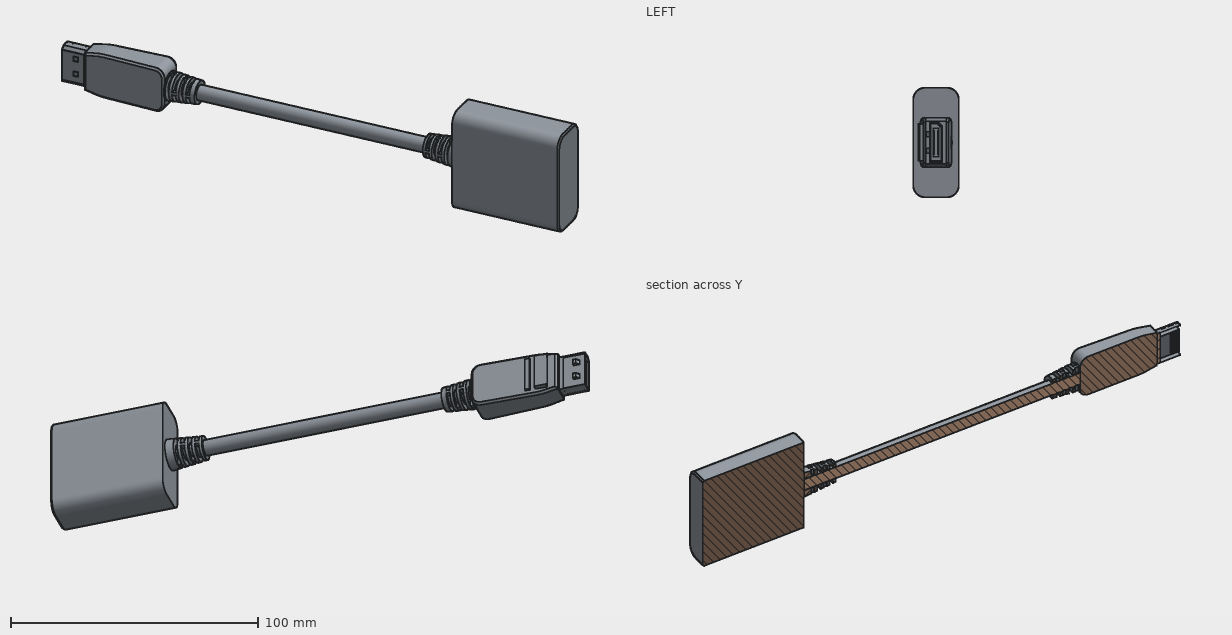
import cadquery as cq

OVERALL_LENGTH = 226.5

SHELL_LENGTH = 11.0
SHELL_THICK = 5.0
SHELL_HEIGHT = 15.9
SHELL_WALL = 0.5
SHELL_KEY_CHAMFER = 1.4
CAVITY_DEPTH = 9.5
TONGUE_THICK = 2.3
TONGUE_HEIGHT = 11.3
TONGUE_SETBACK = 0.5
CONTACT_COUNT = 10
CONTACT_PITCH = 1.0
CONTACT_GROOVE_WIDTH = 0.5
CONTACT_GROOVE_DEPTH = 0.5
CONTACT_END_X = 4.5
LATCH_SPACING = 6.8
WINDOW_SIZE = 2.0
WINDOW_X = 6.1
HOOK_START_X = 2.3
HOOK_END_X = 4.8
HOOK_RISE = 1.4
HOOK_WIDTH = 2.0

HOUSING_END_X = 47.5
HOUSING_HALF_HEIGHT = 10.0
HOUSING_NOSE_HALF_HEIGHT = 8.5
NOSE_END_X = 14.7
NOSE_END_HALF_HEIGHT = 9.3
SHOULDER_END_X = 20.4
HOUSING_CORNER_RADIUS = 4.0
HOUSING_FRONT_HALF_THICK = 5.0
HOUSING_REAR_HALF_THICK = 6.3
HOUSING_EDGE_CHAMFER = 1.0

BUTTON_START_X = 14.5
BUTTON_END_X = 20.2
BUTTON_TOP_Y = 7.2
BUTTON_LIP = 0.7
BUTTON_HEIGHT = 15.0
GRIP_START_X = 22.5
GRIP_END_X = 24.5
GRIP_TOP_Y = 6.3

CABLE_DIAMETER = 6.5
CABLE_RADIUS = CABLE_DIAMETER / 2
BOOT_TIP_RADIUS = 5.0
BOOT_TAPER = 0.1
PLUG_BOOT_LENGTH = 13.1
PLUG_BOOT_FIRST_SLOT = 1.4
ADAPTER_BOOT_LENGTH = 15.2
ADAPTER_BOOT_FIRST_SLOT = 4.3
SLOT_COUNT = 4
SLOT_PITCH = 3.0
SLOT_WIDTH = 1.5
SLOT_RIB = 1.4

BOX_START_X = 178.5
BOX_THICK = 18.5
BOX_HEIGHT = 44.4
BOX_CORNER_RADIUS = 5.0
BOX_END_CHAMFER = 0.7


def block(start_x, end_x, thick, height, y=0.0, z=0.0):
    """Box from start_x to end_x, centred on y and z."""
    length = end_x - start_x
    return cq.Workplane("XY").box(length, thick, height).translate((start_x + length / 2, y, z))


def make_connector():
    """Shell with one chamfered key corner, grooved tongue, latch windows and hooks."""
    outer = block(0, SHELL_LENGTH, SHELL_THICK, SHELL_HEIGHT)
    outer = outer.edges("|X and >Z and <Y").chamfer(SHELL_KEY_CHAMFER)
    cavity = block(0, CAVITY_DEPTH, SHELL_THICK - 2 * SHELL_WALL, SHELL_HEIGHT - 2 * SHELL_WALL)
    cavity = cavity.edges("|X and >Z and <Y").chamfer(SHELL_KEY_CHAMFER)
    shell = outer.cut(cavity)

    tongue = block(TONGUE_SETBACK, SHELL_LENGTH, TONGUE_THICK, TONGUE_HEIGHT)
    for index in range(CONTACT_COUNT):
        groove_z = (index - (CONTACT_COUNT - 1) / 2) * CONTACT_PITCH
        for side in (-1, 1):
            groove_y = side * (TONGUE_THICK - CONTACT_GROOVE_DEPTH) / 2
            groove = block(TONGUE_SETBACK, CONTACT_END_X,
                           CONTACT_GROOVE_DEPTH, CONTACT_GROOVE_WIDTH, groove_y, groove_z)
            tongue = tongue.cut(groove)
    connector = shell.union(tongue)

    wall_y = (SHELL_THICK - SHELL_WALL) / 2
    for side in (-1, 1):
        latch_z = side * LATCH_SPACING / 2
        window = block(WINDOW_X - WINDOW_SIZE / 2, WINDOW_X + WINDOW_SIZE / 2,
                       SHELL_WALL, WINDOW_SIZE, -wall_y, latch_z)
        connector = connector.cut(window).union(make_hook(latch_z))
    return connector


def make_hook(latch_z):
    """Ramped latch hook on the +Y wall of the shell, steep on its rear side."""
    root_y = SHELL_THICK / 2 - SHELL_WALL
    top_y = SHELL_THICK / 2 + HOOK_RISE
    ramp = [
        (HOOK_START_X, root_y),
        (HOOK_START_X, SHELL_THICK / 2),
        ((HOOK_START_X + HOOK_END_X) / 2, top_y),
        (HOOK_END_X, top_y),
        (HOOK_END_X, root_y),
    ]
    outline = cq.Workplane("XY", origin=(0, 0, latch_z)).polyline(ramp).close()
    return outline.extrude(HOOK_WIDTH / 2, both=True)


def make_housing():
    """Housing that thickens evenly to the rear, with button and grip rib on its +Y face."""
    corner_x = HOUSING_END_X - HOUSING_CORNER_RADIUS
    corner_z = HOUSING_HALF_HEIGHT - HOUSING_CORNER_RADIUS
    rise = HOUSING_HALF_HEIGHT - NOSE_END_HALF_HEIGHT
    run = SHOULDER_END_X - NOSE_END_X
    flank_radius = (run ** 2 + rise ** 2) / (2 * rise)
    side_prism = (
        cq.Workplane("XZ")
        .moveTo(SHELL_LENGTH, -HOUSING_NOSE_HALF_HEIGHT)
        .lineTo(SHELL_LENGTH, HOUSING_NOSE_HALF_HEIGHT)
        .lineTo(NOSE_END_X, NOSE_END_HALF_HEIGHT)
        .radiusArc((SHOULDER_END_X, HOUSING_HALF_HEIGHT), flank_radius)
        .lineTo(corner_x, HOUSING_HALF_HEIGHT)
        .radiusArc((HOUSING_END_X, corner_z), HOUSING_CORNER_RADIUS)
        .lineTo(HOUSING_END_X, -corner_z)
        .radiusArc((corner_x, -HOUSING_HALF_HEIGHT), HOUSING_CORNER_RADIUS)
        .lineTo(SHOULDER_END_X, -HOUSING_HALF_HEIGHT)
        .radiusArc((NOSE_END_X, -NOSE_END_HALF_HEIGHT), flank_radius)
        .close()
        .extrude(HOUSING_REAR_HALF_THICK, both=True)
    )
    wedge = (
        cq.Workplane("XY")
        .polyline([
            (SHELL_LENGTH, HOUSING_FRONT_HALF_THICK),
            (HOUSING_END_X, HOUSING_REAR_HALF_THICK),
            (HOUSING_END_X, -HOUSING_REAR_HALF_THICK),
            (SHELL_LENGTH, -HOUSING_FRONT_HALF_THICK),
        ])
        .close()
        .extrude(HOUSING_HALF_HEIGHT, both=True)
    )
    body = side_prism.intersect(wedge)
    body = body.faces("<Y or >Y").edges().chamfer(HOUSING_EDGE_CHAMFER)
    return body.union(make_button()).union(make_grip())


def make_button():
    """Push button whose front edge overhangs the housing face."""
    profile = [
        (BUTTON_START_X, BUTTON_TOP_Y),
        (BUTTON_END_X, BUTTON_TOP_Y),
        (BUTTON_END_X, 0),
        (BUTTON_START_X + BUTTON_LIP, 0),
        (BUTTON_START_X + BUTTON_LIP, BUTTON_TOP_Y - BUTTON_LIP),
    ]
    return cq.Workplane("XY").polyline(profile).close().extrude(BUTTON_HEIGHT / 2, both=True)


def make_grip():
    """Low rib behind the button."""
    return block(GRIP_START_X, GRIP_END_X, GRIP_TOP_Y, BUTTON_HEIGHT, GRIP_TOP_Y / 2)


def make_boot(base_x, length, first_slot, direction):
    """Tapered sleeve on the cable.

    first_slot is the distance from the base to the middle of the nearest slot;
    direction is the X sense from base to tip.
    """
    base_radius = BOOT_TIP_RADIUS + BOOT_TAPER * length
    tip_x = base_x + direction * length
    boot = (
        cq.Workplane("XY")
        .polyline([
            (base_x, CABLE_RADIUS),
            (base_x, base_radius),
            (tip_x, BOOT_TIP_RADIUS),
            (tip_x, CABLE_RADIUS),
        ])
        .close()
        .revolve(360, (0, 0, 0), (1, 0, 0))
    )
    for index in range(SLOT_COUNT):
        slot_x = base_x + direction * (first_slot + index * SLOT_PITCH)
        start_x = slot_x - SLOT_WIDTH / 2
        end_x = slot_x + SLOT_WIDTH / 2
        span = 2 * base_radius
        slot = block(start_x, end_x, span, span)
        if index % 2 == 0:
            ribs = block(start_x, end_x, SLOT_RIB, span)
        else:
            ribs = block(start_x, end_x, span, SLOT_RIB)
        boot = boot.cut(slot.cut(ribs))
    return boot


def make_cable():
    length = BOX_START_X - HOUSING_END_X
    return cq.Workplane("YZ", origin=(HOUSING_END_X, 0, 0)).circle(CABLE_RADIUS).extrude(length)


def make_adapter_box():
    box = block(BOX_START_X, OVERALL_LENGTH, BOX_THICK, BOX_HEIGHT)
    box = box.edges("|X").fillet(BOX_CORNER_RADIUS)
    return box.faces(">X").edges().chamfer(BOX_END_CHAMFER)


connector = make_connector()
plug_housing = make_housing()
plug_boot = make_boot(HOUSING_END_X, PLUG_BOOT_LENGTH, PLUG_BOOT_FIRST_SLOT, 1)
cable = make_cable()
adapter_boot = make_boot(BOX_START_X, ADAPTER_BOOT_LENGTH, ADAPTER_BOOT_FIRST_SLOT, -1)
adapter_box = make_adapter_box()

result = cq.Compound.makeCompound([
    connector.val(),
    plug_housing.val(),
    plug_boot.val(),
    cable.val(),
    adapter_boot.val(),
    adapter_box.val(),
])